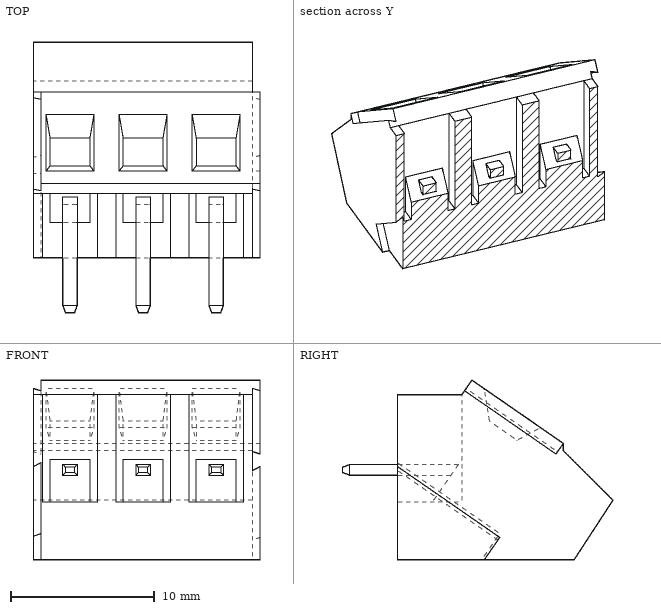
import cadquery as cq
import math


pole_count = 3
pole_pitch = 5.08
pole_centres = [pole_pitch * (pole + 0.5) for pole in range(pole_count)]
body_width = pole_count * pole_pitch

overall_depth = 18.8
body_depth = 14.98
front_height = 11.49
peak_height = 12.5
wall_depth = 4.47
tilt = math.radians(34.7)
entry_length = 7.73
entry_step = 0.5
rear_corner_height = 4.15
base_depth = 12.28

joint_depth = 0.5
upper_joint_thickness = 0.71
upper_joint_flare = 0.19
lower_joint_length = 8.5
lower_recess_height = 6.49
lower_tongue_height = 6.22
lower_joint_flare = 0.23

slot_width = 3.8
slot_floor = 4.05
ramp_width = 2.78
ramp_length = 2.03

pin_width = 1.02
pin_thickness = 0.75
pin_height = 6.26
pin_reach = overall_depth - body_depth
pin_tip_length = 0.5
pin_tip_inset = 0.19

funnel_start = 1.03
funnel_length = 4.78
funnel_width = 3.33
funnel_depth = 1.65
funnel_floor_start = 2.63
funnel_floor_length = 2.33
funnel_floor_width = 2.76

peak_y = wall_depth + (peak_height - front_height) * math.tan(tilt)


def on_slope(distance, depth=0.0):
    """(Y, Z) of a point down the slope from the peak, sunk below the entry face."""
    y = peak_y + distance * math.cos(tilt) - depth * math.sin(tilt)
    z = peak_height - distance * math.sin(tilt) - depth * math.cos(tilt)
    return y, z


def side_prism(points, start, width):
    """Extrude a (Y, Z) outline along X."""
    return cq.Workplane("YZ", origin=(start, 0, 0)).polyline(points).close().extrude(width)


def flared_prism(outer_points, inner_points, start):
    """Join two (Y, Z) outlines that lie one joint depth apart along X."""
    return (
        cq.Workplane("YZ", origin=(start, 0, 0))
        .polyline(outer_points).close()
        .workplane(offset=joint_depth)
        .polyline(inner_points).close()
        .loft(ruled=True, combine=True)
    )


def make_body():
    entry_end_y, entry_end_z = on_slope(entry_length)
    outline = [
        (0, 0),
        (0, front_height),
        (wall_depth, front_height),
        (peak_y, peak_height),
        (entry_end_y, entry_end_z),
        (entry_end_y, entry_end_z - entry_step),
        (body_depth, rear_corner_height),
        (base_depth, 0),
    ]
    return side_prism(outline, 0, body_width)


def upper_joint(start):
    def outline(thickness):
        return [
            on_slope(0),
            on_slope(entry_length),
            on_slope(entry_length, thickness),
            on_slope(0, thickness),
        ]

    return flared_prism(
        outline(upper_joint_thickness), outline(upper_joint_thickness + upper_joint_flare), start
    )


def lower_joint(start, front_edge):
    def outline(flare):
        corner_y = lower_joint_length * math.cos(tilt) + flare * math.sin(tilt)
        corner_z = front_edge - lower_joint_length * math.sin(tilt) + flare * math.cos(tilt)
        return [
            (0, 0),
            (0, front_edge + flare / math.cos(tilt)),
            (corner_y, corner_z),
            (corner_y - corner_z * math.tan(tilt), 0),
        ]

    return flared_prism(outline(0), outline(lower_joint_flare), start)


def pin_slot(centre):
    slot_height = front_height - slot_floor
    slot = cq.Workplane("XY").box(slot_width, wall_depth, slot_height, centered=(True, False, False))
    return slot.translate((centre, 0, slot_floor))


def slot_ramp(centre):
    outline = [
        (wall_depth - ramp_length, slot_floor),
        (wall_depth, slot_floor),
        (wall_depth, slot_floor + ramp_length / math.tan(tilt)),
    ]
    return side_prism(outline, centre - ramp_width / 2, ramp_width)


def solder_pin(centre):
    shank_end = pin_tip_length - pin_reach
    shank = (
        cq.Workplane("XZ", origin=(centre, wall_depth, pin_height))
        .rect(pin_width, pin_thickness)
        .extrude(wall_depth - shank_end)
    )
    tip = (
        cq.Workplane("XZ", origin=(centre, shank_end, pin_height))
        .rect(pin_width, pin_thickness)
        .workplane(offset=pin_tip_length)
        .rect(pin_width - 2 * pin_tip_inset, pin_thickness - 2 * pin_tip_inset)
        .loft(ruled=True, combine=True)
    )
    return shank.union(tip)


def wire_funnel(centre):
    mouth_centre = funnel_start + funnel_length / 2
    floor_centre = funnel_floor_start + funnel_floor_length / 2
    mouth_y, mouth_z = on_slope(mouth_centre)
    entry_plane = cq.Plane(
        origin=(centre, mouth_y, mouth_z),
        xDir=(1, 0, 0),
        normal=(0, math.sin(tilt), math.cos(tilt)),
    )
    return (
        cq.Workplane(entry_plane)
        .rect(funnel_width, funnel_length)
        .workplane(offset=-funnel_depth)
        .center(0, floor_centre - mouth_centre)
        .rect(funnel_floor_width, funnel_floor_length)
        .loft(ruled=True, combine=True)
    )


result = make_body()

result = result.cut(upper_joint(0)).cut(lower_joint(0, lower_recess_height))
result = result.union(upper_joint(body_width)).union(lower_joint(body_width, lower_tongue_height))

for pole_centre in pole_centres:
    result = result.cut(pin_slot(pole_centre)).cut(wire_funnel(pole_centre))
    result = result.union(slot_ramp(pole_centre)).union(solder_pin(pole_centre))